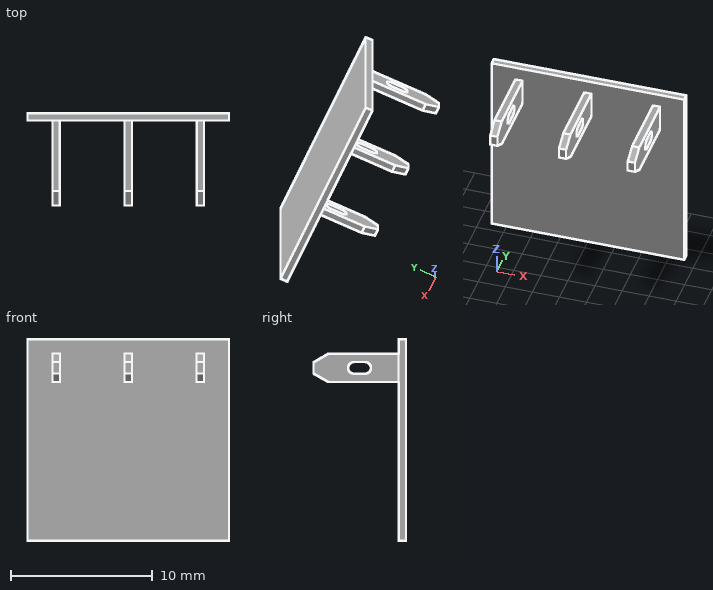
import cadquery as cq

plate_side = 14.22
plate_thickness = 0.53

tab_count = 3
tab_pitch = 5.08
tab_length = 6.0
tab_height = 2.0
tab_thickness = 0.53
tab_center_z = tab_pitch

taper_length = 1.04
taper_height = 0.6

slot_length = 1.6
slot_height = 0.8
slot_from_plate = 2.75


def make_plate():
    """Square plate with its front face at Y = 0."""
    plate = cq.Workplane("XY").box(plate_side, plate_thickness, plate_side)
    return plate.translate((0, plate_thickness / 2, 0))


def make_tab(center_x):
    """Slotted tab with a tapered tip, rooted on the plate's front face."""
    half_height = tab_height / 2
    tip_half_height = half_height - taper_height
    taper_start = -(tab_length - taper_length)
    tab_plane = cq.Workplane("YZ")
    blade = (
        tab_plane.moveTo(0, -half_height)
        .lineTo(taper_start, -half_height)
        .lineTo(-tab_length, -tip_half_height)
        .lineTo(-tab_length, tip_half_height)
        .lineTo(taper_start, half_height)
        .lineTo(0, half_height)
        .close()
        .extrude(tab_thickness / 2, both=True)
    )
    slot = (
        tab_plane.center(-slot_from_plate, 0)
        .slot2D(slot_length, slot_height)
        .extrude(tab_thickness, both=True)
    )
    return blade.cut(slot).translate((center_x, 0, tab_center_z))


result = make_plate()
for index in range(tab_count):
    tab_x = (index - (tab_count - 1) / 2) * tab_pitch
    result = result.union(make_tab(tab_x))

result = result.translate((0, (tab_length - plate_thickness) / 2, 0))